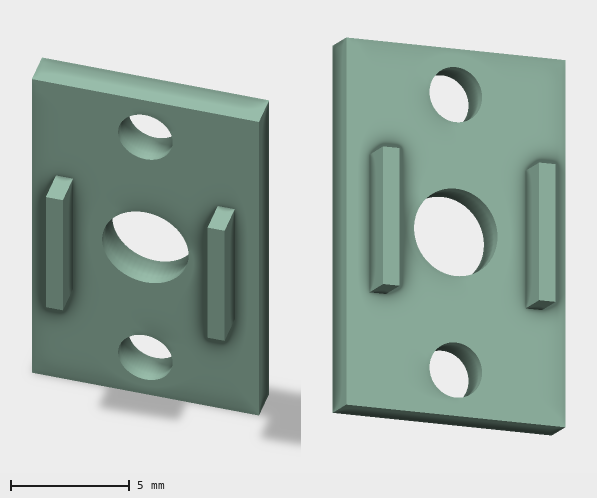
import cadquery as cq

plate_width = 10.0
plate_height = 16.0
plate_thickness = 1.5

total_depth = 3.0
rib_projection = total_depth - plate_thickness
rib_width = 0.75
rib_height = 6.0
rib_spacing = 7.12

center_hole_diameter = 3.8
mounting_hole_diameter = 2.4
mounting_hole_spacing = 12.0


def make_plate():
    """Plate centred on X and Z, with its front face at Y = 0."""
    return cq.Workplane("XZ").rect(plate_width, plate_height).extrude(-plate_thickness)


def make_ribs():
    """Pair of upright ribs projecting toward -Y from the front face."""
    return (
        cq.Workplane("XZ")
        .pushPoints([(side * rib_spacing / 2, 0) for side in (-1, 1)])
        .rect(rib_width, rib_height)
        .extrude(rib_projection)
    )


def make_hole(diameter, z):
    """Cutter for a hole through the plate at height z."""
    return cq.Workplane("XZ").center(0, z).circle(diameter / 2).extrude(-plate_thickness)


result = make_plate().union(make_ribs())
result = result.cut(make_hole(center_hole_diameter, 0))
for side in (-1, 1):
    result = result.cut(make_hole(mounting_hole_diameter, side * mounting_hole_spacing / 2))